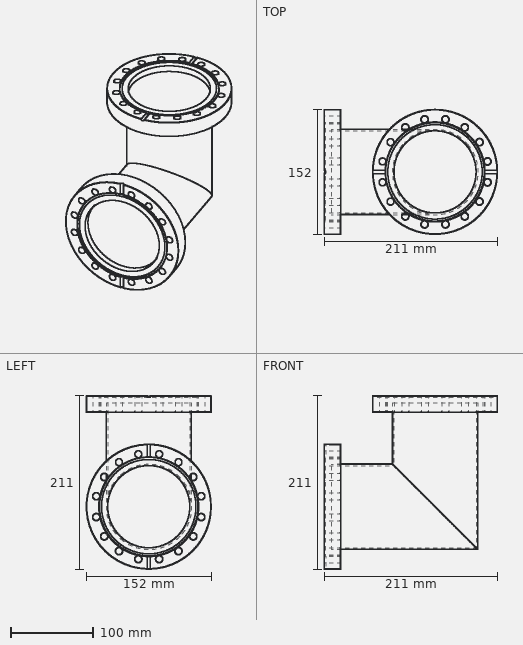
import cadquery as cq
import math


overall_length = 211.0
flange_diameter = 152.0
flange_thickness = 20.0
face_distance = overall_length - flange_diameter / 2
flange_back = face_distance - flange_thickness

bore_diameter = 100.0
tube_diameter = 104.0
socket_depth_from_face = 8.9
tube_end = face_distance - socket_depth_from_face

insert_diameter = 120.5
knife_diameter = 115.0
knife_setback = 0.6
knife_slope_degrees = 20.0
knife_height = (insert_diameter - knife_diameter) / 2 * math.tan(math.radians(knife_slope_degrees))

ring_bore_diameter = 121.1
rim_chamfer = 0.5
bolt_count = 16
bolt_circle_diameter = 130.2
bolt_hole_diameter = 8.5
leak_groove_radius = 2.0


def make_tube():
    """Vertical tube cut off along the 45 degree mitre plane z = -x."""
    radius = tube_diameter / 2
    tube = (
        cq.Workplane("XY")
        .workplane(offset=-radius)
        .circle(radius)
        .circle(bore_diameter / 2)
        .extrude(tube_end + radius)
    )
    reach = tube_diameter
    below_mitre = (
        cq.Workplane("XZ")
        .polyline([(-reach, reach), (reach, -reach), (-reach, -reach)])
        .close()
        .extrude(reach, both=True)
    )
    return tube.cut(below_mitre)


def make_insert():
    """Flange core, revolved from half its section: knife edge in front, tube socket behind."""
    knife_level = face_distance - knife_setback
    section = [
        (bore_diameter / 2, tube_end),
        (bore_diameter / 2, knife_level),
        (knife_diameter / 2, knife_level),
        (insert_diameter / 2, knife_level - knife_height),
        (insert_diameter / 2, flange_back),
        (tube_diameter / 2, flange_back),
        (tube_diameter / 2, tube_end),
    ]
    return cq.Workplane("XZ").polyline(section).close().revolve(360, (0, 0), (0, 1))


def make_bolt_ring():
    """Outer ring with bolt holes and two leak-check grooves across its face."""
    back_plane = cq.Plane((0, 0, flange_back), xDir=(0, 1, 0), normal=(0, 0, 1))
    ring = (
        cq.Workplane(back_plane)
        .circle(flange_diameter / 2)
        .extrude(flange_thickness)
        .faces(">Z")
        .chamfer(rim_chamfer)
    )
    ring_bore = cq.Workplane(back_plane).circle(ring_bore_diameter / 2).extrude(flange_thickness)
    bolt_holes = (
        cq.Workplane(back_plane)
        .polarArray(bolt_circle_diameter / 2, 180 / bolt_count, 360, bolt_count)
        .circle(bolt_hole_diameter / 2)
        .extrude(flange_thickness)
    )
    groove_plane = cq.Plane((-flange_diameter, 0, face_distance), xDir=(0, 0, 1), normal=(1, 0, 0))
    groove_rod = cq.Workplane(groove_plane).circle(leak_groove_radius).extrude(2 * flange_diameter)
    return ring.cut(ring_bore).cut(bolt_holes).cut(groove_rod)


mitre_line_start = (0, 0, 0)
mitre_line_end = (1, 0, -1)

bodies = []
for arm_turn in (0, 180):
    for make_body in (make_tube, make_insert, make_bolt_ring):
        body = make_body().rotate(mitre_line_start, mitre_line_end, arm_turn)
        bodies.append(body.solids().val())

result = cq.Compound.makeCompound(bodies)